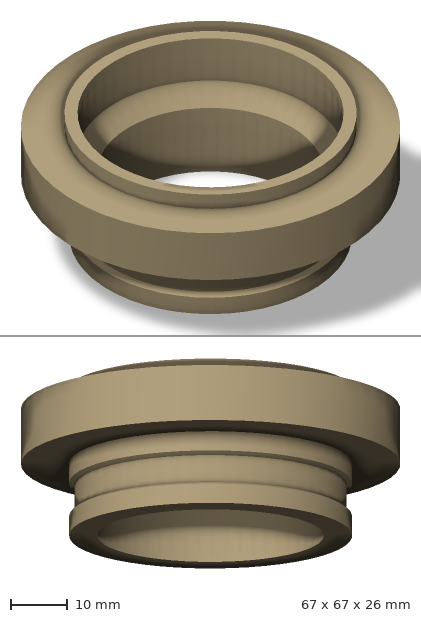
import cadquery as cq

flange_radius = 67 / 2
rim_radius = 51.6 / 2
neck_radius = 50.0 / 2
groove_radius = 48.0 / 2

total_height = 26.0
rim_height = 3.0
flange_thickness = 10.0
flange_top = total_height - rim_height
flange_bottom = flange_top - flange_thickness
groove_bottom = 3.5
groove_top = 9.5
groove_flank_height = 0.6

bore_radius = 40.0 / 2
counterbore_radius = 47.0 / 2
counterbore_depth = 9.0
cone_height = 3.5
cone_top = total_height - counterbore_depth
cone_bottom = cone_top - cone_height


def make_ring():
    """Revolve the closed (radius, height) section about the Z axis."""
    outer_profile = [
        (neck_radius, 0),
        (neck_radius, groove_bottom),
        (groove_radius, groove_bottom + groove_flank_height),
        (groove_radius, groove_top - groove_flank_height),
        (neck_radius, groove_top),
        (neck_radius, flange_bottom),
        (flange_radius, flange_bottom),
        (flange_radius, flange_top),
        (rim_radius, flange_top),
        (rim_radius, total_height),
    ]
    bore_profile = [
        (counterbore_radius, total_height),
        (counterbore_radius, cone_top),
        (bore_radius, cone_bottom),
        (bore_radius, 0),
    ]
    section = cq.Workplane("XZ").polyline(outer_profile + bore_profile).close()
    return section.revolve(360, (0, 0, 0), (0, 1, 0))


result = make_ring()